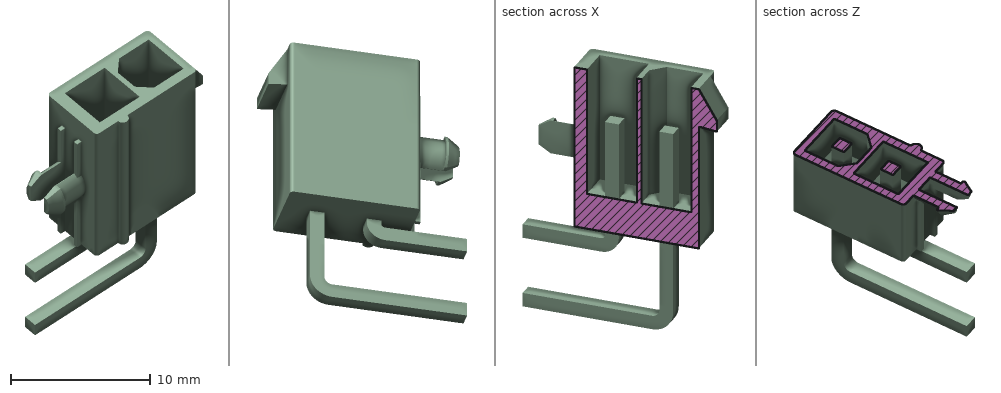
import cadquery as cq
import math

body_width = 5.36
body_depth = 9.63
body_height = 12.8
corner_radius = 0.28

pin_size = 1.08
pin_pitch = 4.2
front_pin_y = 2.9
rear_pin_y = front_pin_y + pin_pitch
pin_tip_z = body_height - 3.99
pin_end_y = -3.99
front_leg_bottom = -1.63
front_bend_radius = 0.28
rear_leg_bottom = -7.13
rear_bend_radius = 0.55
cavity_size = 3.8
cavity_depth = 9.96
cavity_chamfer = 0.98

lug_width = 3.43
lug_reach = 1.4
lug_slope_drop = 2.27
lug_root_drop = 3.03
lug_tip_drop = 3.19

side_rib_radius = 0.44
side_rib_y = 2.51

rib_inner_x = 0.72
rib_width = 0.34
rib_reach = 0.42
rib_height = body_height - 2

peg_z = 6.18
stem_radius = 1.51
stem_length = 2.15
head_radius = 1.8
head_half_height = 1.32
lip_length = 0.18
tip_radius = 1.24
tip_half_height = 0.75
peg_length = 3.27
slot_width = 2 * rib_inner_x
peg_embed = 0.2


def make_housing():
    housing = (
        cq.Workplane("XY")
        .rect(body_width, body_depth)
        .extrude(body_height)
        .edges("|Z")
        .fillet(corner_radius)
        .translate((0, body_depth / 2, 0))
    )
    side_rib = (
        cq.Workplane("XY")
        .center(body_width / 2, side_rib_y)
        .circle(side_rib_radius)
        .extrude(body_height)
    )
    return housing.union(side_rib)


def make_cavity(center_y):
    return (
        cq.Workplane("XY", origin=(0, center_y, body_height - cavity_depth))
        .rect(cavity_size, cavity_size)
        .extrude(cavity_depth)
    )


def make_pin(center_y, leg_bottom, inner_radius):
    """Square pin bent from vertical to a leg pointing forward."""
    outer_radius = inner_radius + pin_size
    rear_y = center_y + pin_size / 2
    front_y = center_y - pin_size / 2
    leg_top = leg_bottom + pin_size
    bend_y = front_y - inner_radius
    bend_z = leg_top + inner_radius
    diagonal = math.sqrt(0.5)
    return (
        cq.Workplane("YZ", origin=(-pin_size / 2, 0, 0))
        .moveTo(rear_y, pin_tip_z)
        .lineTo(rear_y, bend_z)
        .threePointArc(
            (bend_y + outer_radius * diagonal, bend_z - outer_radius * diagonal),
            (bend_y, leg_bottom),
        )
        .lineTo(pin_end_y, leg_bottom)
        .lineTo(pin_end_y, leg_top)
        .lineTo(bend_y, leg_top)
        .threePointArc(
            (bend_y + inner_radius * diagonal, bend_z - inner_radius * diagonal),
            (front_y, bend_z),
        )
        .lineTo(front_y, pin_tip_z)
        .close()
        .extrude(pin_size)
    )


def make_lug():
    tip_y = body_depth + lug_reach
    return (
        cq.Workplane("YZ", origin=(-lug_width / 2, 0, 0))
        .moveTo(body_depth, body_height)
        .lineTo(tip_y, body_height - lug_slope_drop)
        .lineTo(tip_y, body_height - lug_tip_drop)
        .lineTo(body_depth, body_height - lug_root_drop)
        .close()
        .extrude(lug_width)
    )


def make_front_rib(side):
    center_x = side * (rib_inner_x + rib_width / 2)
    return (
        cq.Workplane("XY")
        .center(center_x, -rib_reach / 2)
        .rect(rib_width, rib_reach)
        .extrude(rib_height)
    )


def make_peg():
    """Round snap-in peg with a flattened, tapered head and a vertical slot."""
    lip_end = stem_length + lip_length
    peg_profile = (
        cq.Workplane("XY")
        .moveTo(0, peg_embed)
        .lineTo(stem_radius, peg_embed)
        .lineTo(stem_radius, -stem_length)
        .lineTo(head_radius, -stem_length)
        .lineTo(head_radius, -lip_end)
        .lineTo(tip_radius, -peg_length)
        .lineTo(0, -peg_length)
        .close()
    )
    peg = peg_profile.revolve(360, (0, 0, 0), (0, 1, 0))
    flattened_outline = (
        cq.Workplane("YZ", origin=(-head_radius, 0, 0))
        .moveTo(peg_embed, head_half_height)
        .lineTo(-lip_end, head_half_height)
        .lineTo(-peg_length, tip_half_height)
        .lineTo(-peg_length, -tip_half_height)
        .lineTo(-lip_end, -head_half_height)
        .lineTo(peg_embed, -head_half_height)
        .close()
        .extrude(2 * head_radius)
    )
    slot = (
        cq.Workplane("XY")
        .box(slot_width, peg_length, 2 * head_radius)
        .translate((0, -peg_length / 2, 0))
    )
    return peg.intersect(flattened_outline).cut(slot).translate((0, 0, peg_z))


front_cavity = make_cavity(front_pin_y)
rear_cavity = make_cavity(rear_pin_y).edges("|Z and <Y").chamfer(cavity_chamfer)

result = make_housing().cut(front_cavity).cut(rear_cavity)
result = result.union(make_pin(front_pin_y, front_leg_bottom, front_bend_radius))
result = result.union(make_pin(rear_pin_y, rear_leg_bottom, rear_bend_radius))
result = result.union(make_lug())
for side in (-1, 1):
    result = result.union(make_front_rib(side))
result = result.union(make_peg())